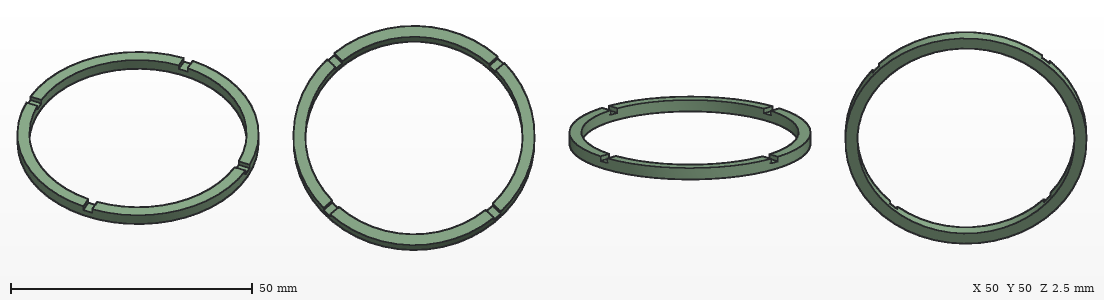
import cadquery as cq

outer_diameter = 50.0
wall = 2.5
height = 2.5
inner_diameter = outer_diameter - 2 * wall

notch_width = 2.0
notch_depth = 1.0


def make_ring():
    """Flat ring standing on the XY plane."""
    return cq.Workplane("XY").circle(outer_diameter / 2).circle(inner_diameter / 2).extrude(height)


def make_notch_bar(angle):
    """Bar across the full diameter that cuts two opposite notches."""
    bar = cq.Workplane("XY").workplane(offset=height - notch_depth)
    bar = bar.rect(outer_diameter, notch_width).extrude(notch_depth)
    return bar.rotate((0, 0, 0), (0, 0, 1), angle)


result = make_ring()
for bar_angle in (0, 90):
    result = result.cut(make_notch_bar(bar_angle))